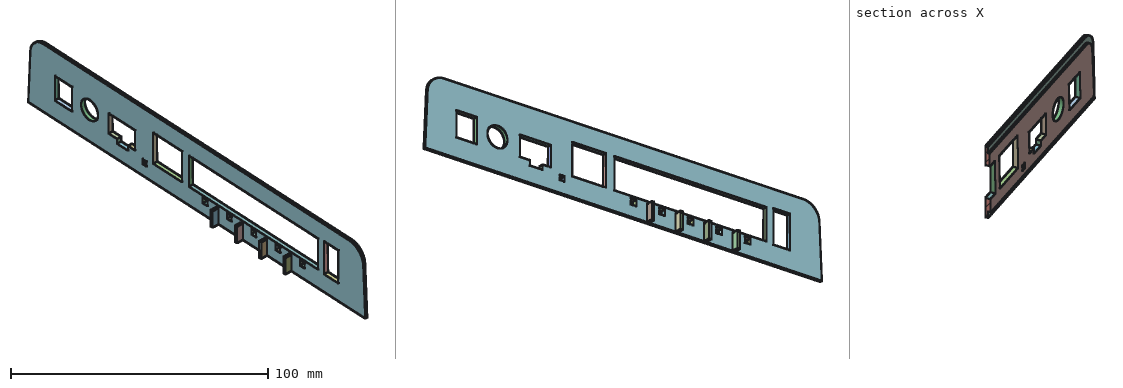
import cadquery as cq
import math

length = 193.0
height = 32.8
plate_thickness = 1.2
side_lean = 1.5
corner_radius = 8.0

panel_thickness = 1.2
panel_inset = 2.9

panel_taper = 0.42

total_thickness = plate_thickness + panel_thickness

sill = 9.0
window_top = 24.0

openings = {
    "usb": (-81.3, -71.5, sill, 20.8),
    "network socket": (-50.4, -35.3, 9.8, 19.5),
    "network latch": (-45.5, -39.4, 7.5, 9.8),
    "square window": (-24.9, -8.5, sill, window_top),
    "long window": (-4.5, 69.5, sill, window_top),
    "switch": (73.0, 81.0, 8.7, 24.5),
}

socket_diameter = 9.7
socket_x = -61.4
socket_z = 15.2

lone_indicator_size = 2.3
indicator_size = 2.7
indicator_z = 6.8
lone_indicator_x = -30.0
indicator_count = 5
indicator_pitch = 13.9
first_indicator_x = 4.8

first_rib_x = 12.0
rib_width = 1.2
rib_depth = 3.0
rib_height = 8.0


def box(left, right, front, back, bottom, top):
    """Block given by its limits along X, Y and Z."""
    return (
        cq.Workplane("XY")
        .box(right - left, back - front, top - bottom, centered=False)
        .translate((left, front, bottom))
    )


def rounded_trapezoid(inset, front, thickness):
    """Slab with leaning ends and round top corners, its outline moved inward by inset."""
    lean_angle = math.atan2(side_lean, height)
    end_inset = inset / math.cos(lean_angle)

    def half_length(z):
        return length / 2 - side_lean * z / height - end_inset

    bottom = inset
    top = height - inset
    outline = [
        (-half_length(bottom), bottom),
        (half_length(bottom), bottom),
        (half_length(top), top),
        (-half_length(top), top),
    ]
    return (
        cq.Workplane("XZ", origin=(0, front, 0))
        .polyline(outline)
        .close()
        .extrude(-thickness)
        .edges("|Y and >Z")
        .fillet(corner_radius - inset)
    )


plate = rounded_trapezoid(0, 0, plate_thickness)
panel = rounded_trapezoid(panel_inset, plate_thickness, panel_thickness)

panel_top = height - panel_inset
wedge = (
    cq.Workplane("YZ", origin=(-length / 2, 0, 0))
    .moveTo(total_thickness, panel_inset)
    .lineTo(total_thickness, panel_top)
    .lineTo(total_thickness - panel_taper, panel_top)
    .close()
    .extrude(length)
)
result = plate.union(panel.cut(wedge))

for left, right, bottom, top in openings.values():
    result = result.cut(box(left, right, 0, total_thickness, bottom, top))

socket = (
    cq.Workplane("XZ")
    .center(socket_x, socket_z)
    .circle(socket_diameter / 2)
    .extrude(-total_thickness)
)
result = result.cut(socket)


def cut_indicator(body, x, size):
    """Square hole centred on the indicator line."""
    half = size / 2
    hole = box(x - half, x + half, 0, total_thickness, indicator_z - half, indicator_z + half)
    return body.cut(hole)


result = cut_indicator(result, lone_indicator_x, lone_indicator_size)
for i in range(indicator_count):
    result = cut_indicator(result, first_indicator_x + i * indicator_pitch, indicator_size)

for i in range(indicator_count - 1):
    x = first_rib_x + i * indicator_pitch
    rib = box(x - rib_width / 2, x + rib_width / 2, -rib_depth, 0, 0, rib_height)
    result = result.union(rib)